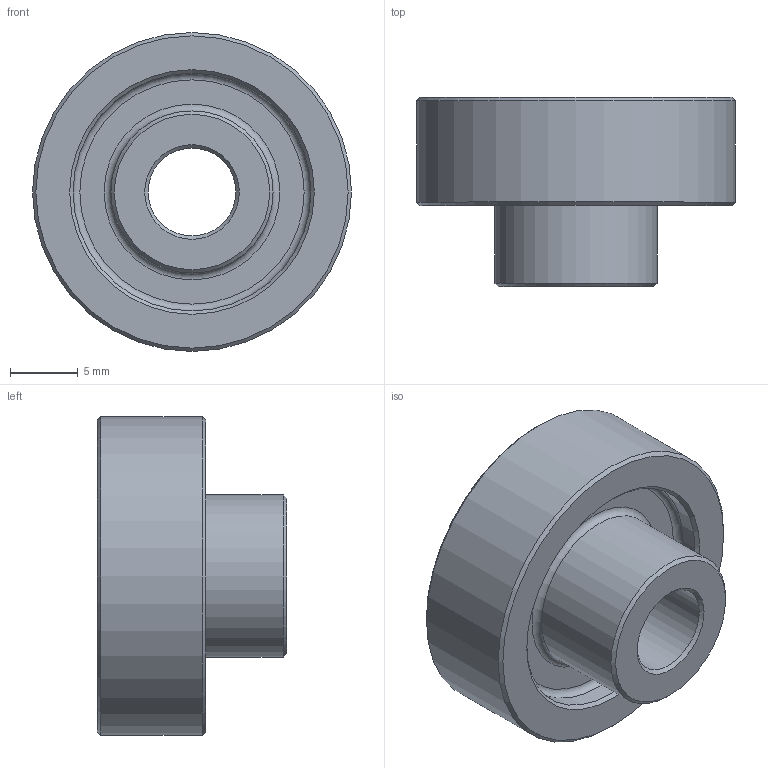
import cadquery as cq

RIM_DIAMETER = 23.6
RIM_WIDTH = 8.0
HUB_DIAMETER = 12.0
HUB_PROJECTION = 6.0
BORE_DIAMETER = 6.5
RECESS_DIAMETER = 17.6
RECESS_DEPTH = 2.0
EDGE_CHAMFER = 0.25
FLOOR_FILLET = 0.5

rim_radius = RIM_DIAMETER / 2
hub_radius = HUB_DIAMETER / 2
bore_radius = BORE_DIAMETER / 2
recess_radius = RECESS_DIAMETER / 2

rim_back = RIM_WIDTH
hub_front = -HUB_PROJECTION
recess_floor = RECESS_DEPTH


def cylinder(radius, start, end):
    """Solid cylinder about the Y axis between two Y positions."""
    disc = cq.Workplane("XZ", origin=(0, start, 0)).circle(radius)
    return disc.extrude(start - end)


def circle_edges(body, radius, position):
    """Circular edges of the given radius lying at the given Y position."""
    tolerance = 0.01
    box = cq.selectors.BoxSelector(
        (-radius - tolerance, position - tolerance, -radius - tolerance),
        (radius + tolerance, position + tolerance, radius + tolerance),
        boundingbox=True,
    )
    return body.edges(box).edges(cq.selectors.RadiusNthSelector(-1))


def make_rim():
    """Wide disc with an open recess in its front face."""
    disc = cylinder(rim_radius, 0, rim_back)
    return disc.cut(cylinder(recess_radius, 0, recess_floor))


def add_hub(body):
    """Hub rising from the recess floor, bored through the whole part."""
    body = body.union(cylinder(hub_radius, hub_front, recess_floor))
    return body.cut(cylinder(bore_radius, hub_front, rim_back))


def round_recess_floor(body):
    """Fillets where the recess floor meets its wall and the hub."""
    for radius in (recess_radius, hub_radius):
        body = circle_edges(body, radius, recess_floor).fillet(FLOOR_FILLET)
    return body


def chamfer_edges(body):
    """Chamfers on the rim, the recess mouth, the hub end and both bore mouths."""
    edges = (
        (rim_radius, 0),
        (rim_radius, rim_back),
        (recess_radius, 0),
        (hub_radius, hub_front),
        (bore_radius, hub_front),
        (bore_radius, rim_back),
    )
    for radius, position in edges:
        body = circle_edges(body, radius, position).chamfer(EDGE_CHAMFER)
    return body


result = chamfer_edges(round_recess_floor(add_hub(make_rim())))